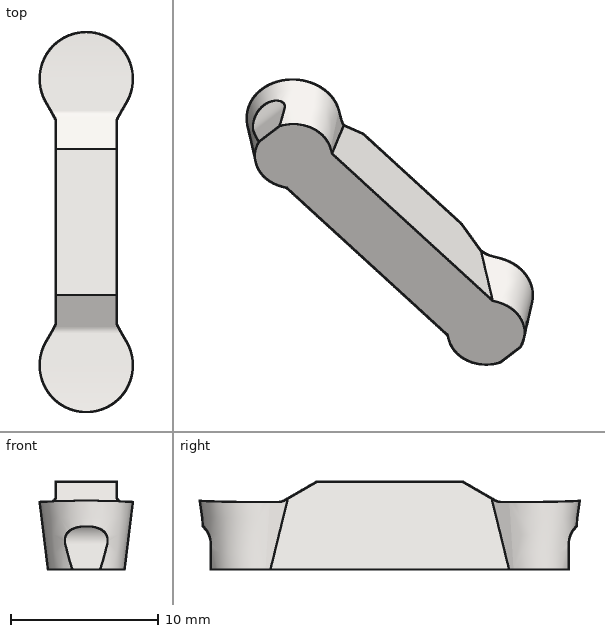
import cadquery as cq
import math

length = 25.85
height = 5.97

bar_width = 4.16
ridge_length = 9.93
ramp_angle = math.radians(30)
ramp_fillet = 0.78

head_radius = 3.18
floor_height = 4.6
edge_rise = 0.08
relief_tan = math.tan(math.radians(7))
neck_angle = math.radians(30)

notch_inset = 0.75
notch_wall_height = 1.73
notch_radius = 1.63
notch_sweep = math.radians(48)

edge_height = floor_height + edge_rise
edge_radius = head_radius + edge_rise * relief_tan
head_offset = length / 2 - edge_radius
ridge_half = ridge_length / 2


def radius_at(z):
    """Radius of the head cone at height z."""
    return head_radius + (z - floor_height) * relief_tan


def teardrop(z):
    """Circle sector closed by two tangent flanks that meet inside the bar."""
    radius = radius_at(z)
    tangent_x = radius * math.cos(neck_angle)
    tangent_y = -head_offset + radius * math.sin(neck_angle)
    apex_y = -head_offset + radius / math.sin(neck_angle)
    return (
        cq.Workplane("XY", origin=(0, 0, z))
        .moveTo(tangent_x, tangent_y)
        .threePointArc((0, -head_offset - radius), (-tangent_x, tangent_y))
        .lineTo(0, apex_y)
        .close()
        .val()
    )


def make_notch():
    """Upright wall below a concave arc that runs out through the cone."""
    wall_y = -length / 2 + notch_inset
    arc_center_y = wall_y - notch_radius

    def arc_point(angle):
        return (
            arc_center_y + notch_radius * math.cos(angle),
            notch_wall_height + notch_radius * math.sin(angle),
        )

    arc_end = arc_point(notch_sweep)
    return (
        cq.Workplane("YZ")
        .moveTo(wall_y, 0)
        .lineTo(wall_y, notch_wall_height)
        .threePointArc(arc_point(notch_sweep / 2), arc_end)
        .lineTo(-length / 2, arc_end[1])
        .lineTo(-length / 2, 0)
        .close()
        .extrude(head_radius, both=True)
    )


def make_head():
    cone = cq.Workplane(cq.Solid.makeLoft([teardrop(0), teardrop(height)], True))
    return cone.cut(make_notch())


def make_half_envelope():
    """Half of the lengthwise profile: ridge, ramp, filleted corner and curved floor."""
    ramp_foot = ridge_half + (height - floor_height) / math.tan(ramp_angle)
    fillet_setback = ramp_fillet * math.tan(ramp_angle / 2)
    fillet_flat_y = ramp_foot + fillet_setback
    fillet_ramp_y = ramp_foot - fillet_setback * math.cos(ramp_angle)
    fillet_ramp_z = floor_height + fillet_setback * math.sin(ramp_angle)
    return (
        cq.Workplane("YZ")
        .moveTo(0, height)
        .lineTo(ridge_half, height)
        .lineTo(fillet_ramp_y, fillet_ramp_z)
        .tangentArcPoint((fillet_flat_y, floor_height), relative=False)
        .lineTo(head_offset, floor_height)
        .tangentArcPoint((length / 2, edge_height), relative=False)
        .lineTo(length / 2, 0)
        .lineTo(0, 0)
        .close()
        .extrude(edge_radius, both=True)
    )


bar = cq.Workplane("XY").box(bar_width, 2 * head_offset, height, centered=(True, True, False))
head = make_head()
half_envelope = make_half_envelope()
envelope = half_envelope.union(half_envelope.mirror("XZ"))
result = bar.union(head).union(head.mirror("XZ")).intersect(envelope)